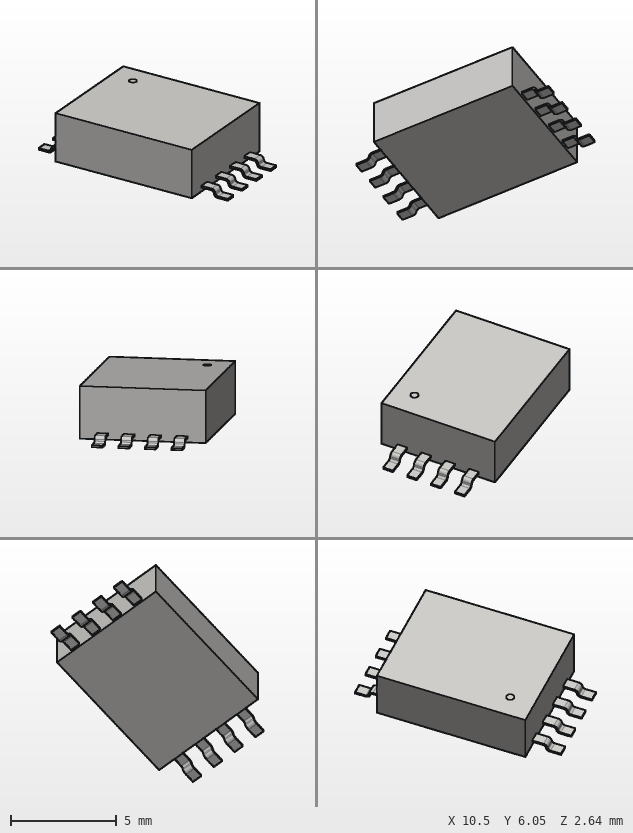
import cadquery as cq
import math

overall_length = 10.52
overall_height = 2.64

housing_length = 7.58
housing_width = 6.05
standoff = 0.1
housing_height = overall_height - standoff

leads_per_side = 4
lead_pitch = 1.27
lead_width = 0.52
lead_thickness = 0.1
lead_rise = 0.32
foot_length = 0.55
bend_angle = math.radians(71)
inner_bend_radius = 0.13
outer_bend_radius = inner_bend_radius + lead_thickness
lead_length = (overall_length - housing_length) / 2
first_row_y = lead_pitch * (leads_per_side - 1) / 2

marker_diameter = 0.38
marker_depth = 0.1
marker_inset = 1.23


def bend_step(radius):
    """X and Z travel along an arc that turns from horizontal through the bend angle."""
    return radius * math.sin(bend_angle), radius * (1 - math.cos(bend_angle))


def make_marker():
    """Disc set into the top of the housing, flush with it."""
    return (
        cq.Workplane("XY", origin=(marker_inset - housing_length / 2, first_row_y, overall_height))
        .circle(marker_diameter / 2)
        .extrude(-marker_depth)
    )


def make_housing(marker):
    """Plain block with a recess that the marker fills."""
    block = cq.Workplane("XY", origin=(0, 0, standoff)).box(
        housing_length, housing_width, housing_height, centered=(True, True, False)
    )
    return block.cut(marker)


def make_lead():
    """One lead on the -X end, centred on y = 0: flat foot, S-bend and arm up to the housing face."""
    inner_dx, inner_dz = bend_step(inner_bend_radius)
    outer_dx, outer_dz = bend_step(outer_bend_radius)
    slant_dz = lead_rise - inner_dz - outer_dz
    slant_dx = slant_dz / math.tan(bend_angle)
    arm_length = lead_length - foot_length - inner_dx - outer_dx - slant_dx
    return (
        cq.Workplane("XZ", origin=(-overall_length / 2, 0, 0))
        .hLine(foot_length)
        .tangentArcPoint((outer_dx, outer_dz))
        .line(slant_dx, slant_dz)
        .tangentArcPoint((inner_dx, inner_dz))
        .hLine(arm_length)
        .vLine(lead_thickness)
        .hLine(-arm_length)
        .tangentArcPoint((-outer_dx, -outer_dz))
        .line(-slant_dx, -slant_dz)
        .tangentArcPoint((-inner_dx, -inner_dz))
        .hLine(-foot_length)
        .close()
        .extrude(lead_width / 2, both=True)
    )


def make_leads():
    """Both rows of leads; the +X row mirrors the -X row."""
    left_lead = make_lead()
    right_lead = left_lead.mirror("YZ")
    leads = []
    for index in range(leads_per_side):
        y = first_row_y - index * lead_pitch
        for lead in (left_lead, right_lead):
            leads.append(lead.translate((0, y, 0)).val())
    return leads


marker = make_marker()
housing = make_housing(marker)
leads = make_leads()

result = cq.Compound.makeCompound([housing.val(), marker.val(), *leads])